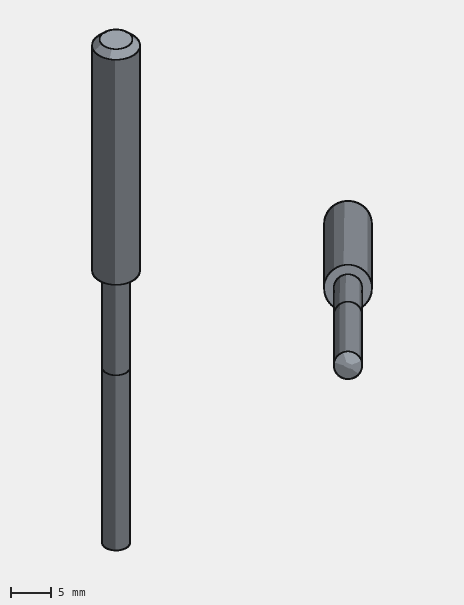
import cadquery as cq
import math

total_length = 79.0

shank_diameter = 6.0
shank_length = 36.0
shank_chamfer = 0.95

drill_diameter = 3.55
cutting_length = 28.0
point_angle = 140.0

drill_radius = drill_diameter / 2
shank_bottom = total_length - shank_length
neck_length = shank_bottom - cutting_length
point_height = drill_radius / math.tan(math.radians(point_angle / 2))


def make_holder():
    """Chamfered shank with the slimmer neck below it."""
    shank = (
        cq.Workplane("XY", origin=(0, 0, shank_bottom))
        .circle(shank_diameter / 2)
        .extrude(shank_length)
        .faces(">Z")
        .chamfer(shank_chamfer)
    )
    neck = (
        cq.Workplane("XY", origin=(0, 0, cutting_length))
        .circle(drill_radius)
        .extrude(neck_length)
    )
    return shank.union(neck)


def make_cutting_section():
    """Plain cylinder ending in a conical point, butted against the neck."""
    half_profile = (
        cq.Workplane("XZ")
        .moveTo(0, 0)
        .lineTo(drill_radius, point_height)
        .lineTo(drill_radius, cutting_length)
        .lineTo(0, cutting_length)
        .close()
    )
    return half_profile.revolve(360, (0, 0, 0), (0, 1, 0))


holder = make_holder()
cutting_section = make_cutting_section()

result = cq.Compound.makeCompound([holder.val(), cutting_section.val()])